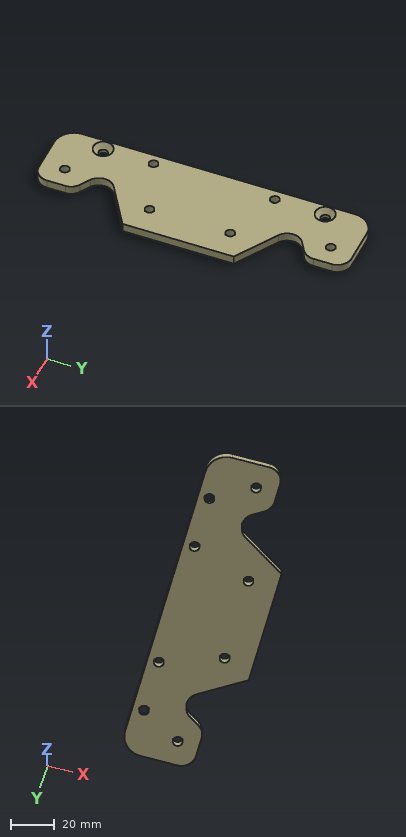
import cadquery as cq

length = 155.0
width = 47.5
thickness = 4.6
half_length = length / 2
back_x = -width / 2
front_x = width / 2

tab_x = back_x + 34.5
notch_tip_x = back_x + 17.2
middle_half_length = 27.6
notch_y = 46.7
notch_slope = (notch_y - middle_half_length) / (front_x - notch_tip_x)
tab_inner_y = notch_y + notch_slope * (tab_x - notch_tip_x)

back_corner_radius = 9.9
tab_corner_radius = 7.0

hole_diameter = 4.5
countersink_diameter = 9.6
countersink_angle = 90
back_hole_x = back_x + 5.5
back_hole_y = 30.0
countersunk_hole_y = 55.0
tab_hole_x = back_x + 24.5
tab_hole_y = 65.9
middle_hole_x = back_x + 33.8
middle_hole_y = 20.0


def mirrored_pair(x, y):
    """Two points placed symmetrically about the XZ plane."""
    return [(x, y), (x, -y)]


def round_corners(body, corners, radius):
    """Fillet the vertical edges standing on the given outline corners."""
    for x, y in corners:
        edge = cq.selectors.NearestToPointSelector((x, y, thickness / 2))
        body = body.edges("|Z").edges(edge).fillet(radius)
    return body


def make_plate():
    upper_outline = [
        (front_x, middle_half_length),
        (notch_tip_x, notch_y),
        (tab_x, tab_inner_y),
        (tab_x, half_length),
        (back_x, half_length),
    ]
    lower_outline = [(x, -y) for x, y in reversed(upper_outline)]
    body = cq.Workplane("XY").polyline(upper_outline + lower_outline).close().extrude(thickness)
    body = round_corners(body, mirrored_pair(back_x, half_length), back_corner_radius)
    for x, y in upper_outline[1:4]:
        body = round_corners(body, mirrored_pair(x, y), tab_corner_radius)
    return body


def drill_holes(body):
    plain_holes = (
        mirrored_pair(back_hole_x, back_hole_y)
        + mirrored_pair(tab_hole_x, tab_hole_y)
        + mirrored_pair(middle_hole_x, middle_hole_y)
    )
    top = cq.Workplane("XY", origin=(0, 0, thickness))
    body = body.cut(top.pushPoints(plain_holes).circle(hole_diameter / 2).extrude(-thickness))
    return (
        body.faces(">Z")
        .workplane(origin=(0, 0, thickness))
        .pushPoints(mirrored_pair(back_hole_x, countersunk_hole_y))
        .cskHole(hole_diameter, countersink_diameter, countersink_angle)
    )


result = drill_holes(make_plate())